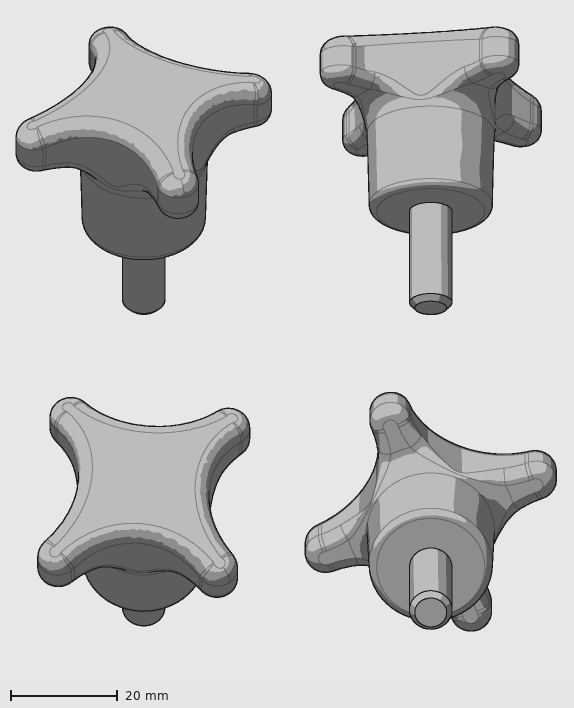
import cadquery as cq
import math

total_height = 53.0
hub_base_z = 20.0
neck_start_z = 36.2
arm_bottom_z = 40.1

stud_diameter = 8.0
stud_radius = stud_diameter / 2
stud_chamfer_height = 1.1
stud_chamfer_width = 1.0

hub_base_radius = 11.55
hub_top_radius = 12.0
hub_edge_fillet = 1.45
neck_radius = arm_bottom_z - neck_start_z

arm_count = 4
handle_span = 50.0
handle_radius = handle_span / 2
arm_half_width = 3.85
scallop_center = 20.45
scallop_radius = scallop_center - arm_half_width
scallop_middle = scallop_center - scallop_radius * math.sqrt(0.5)
outline_inner_radius = scallop_middle * math.sqrt(2)
tip_center = handle_radius - arm_half_width
dome_radius = 73.15
top_fillet = 3.0
bottom_fillet = 2.5


def dome_z(radius):
    """Height of the spherical top at a distance from the axis."""
    return total_height - dome_radius + math.sqrt(dome_radius**2 - radius**2)


def arm_point(along, across, turn):
    """Point in one arm's own frame, turned to its place around the axis."""
    angle = 2 * math.pi * turn / arm_count
    return (
        along * math.cos(angle) - across * math.sin(angle),
        along * math.sin(angle) + across * math.cos(angle),
    )


def make_star():
    """Plan outline of the arms and scallops, extruded through the handle height."""
    outline = cq.Workplane("XY").workplane(offset=hub_base_z)
    outline = outline.moveTo(*arm_point(scallop_center, -arm_half_width, 0))
    for turn in range(arm_count):
        outline = (
            outline.lineTo(*arm_point(tip_center, -arm_half_width, turn))
            .threePointArc(
                arm_point(handle_radius, 0, turn),
                arm_point(tip_center, arm_half_width, turn),
            )
            .lineTo(*arm_point(scallop_center, arm_half_width, turn))
            .threePointArc(
                arm_point(scallop_middle, scallop_middle, turn),
                arm_point(scallop_center, -arm_half_width, turn + 1),
            )
        )
    return outline.close().extrude(total_height)


def make_flared_blank():
    """Domed disc that flares down into the neck."""
    blank_radius = handle_radius + arm_half_width
    bend = neck_radius * math.sqrt(0.5)
    flare_outer_radius = hub_top_radius + neck_radius
    return (
        cq.Workplane("XZ")
        .moveTo(0, neck_start_z)
        .lineTo(hub_top_radius, neck_start_z)
        .threePointArc(
            (flare_outer_radius - bend, neck_start_z + bend),
            (flare_outer_radius, arm_bottom_z),
        )
        .lineTo(blank_radius, arm_bottom_z)
        .lineTo(blank_radius, dome_z(blank_radius))
        .threePointArc((blank_radius / 2, dome_z(blank_radius / 2)), (0, total_height))
        .close()
        .revolve(360, (0, 0), (0, 1))
    )


def rim_edges(handle, lowest_z, highest_z):
    """Edges of the star outline whose centers lie between two heights."""
    rim = []
    for edge in handle.edges("not |Z").vals():
        ends = (edge.startPoint(), edge.endPoint())
        on_outline = all(math.hypot(end.x, end.y) > outline_inner_radius for end in ends)
        if on_outline and lowest_z < edge.Center().z < highest_z:
            rim.append(edge)
    return handle.newObject(rim)


def make_handle():
    """Star handle with rounded upper and lower rims."""
    middle_z = (arm_bottom_z + dome_z(handle_radius)) / 2
    handle = make_flared_blank().intersect(make_star())
    handle = rim_edges(handle, middle_z, total_height).fillet(top_fillet)
    return rim_edges(handle, neck_start_z, middle_z).fillet(bottom_fillet)


def make_hub():
    """Tapered hub with a rounded lower edge."""
    return (
        cq.Workplane("XZ")
        .moveTo(0, hub_base_z)
        .lineTo(hub_base_radius, hub_base_z)
        .lineTo(hub_top_radius, neck_start_z)
        .lineTo(0, neck_start_z)
        .close()
        .revolve(360, (0, 0), (0, 1))
        .faces("<Z")
        .edges()
        .fillet(hub_edge_fillet)
    )


def make_stud():
    """Plain pin with a chamfered end."""
    return (
        cq.Workplane("XY")
        .circle(stud_radius)
        .extrude(hub_base_z + hub_edge_fillet)
        .faces("<Z")
        .chamfer(stud_chamfer_height, stud_chamfer_width)
    )


result = make_handle().union(make_hub()).union(make_stud())